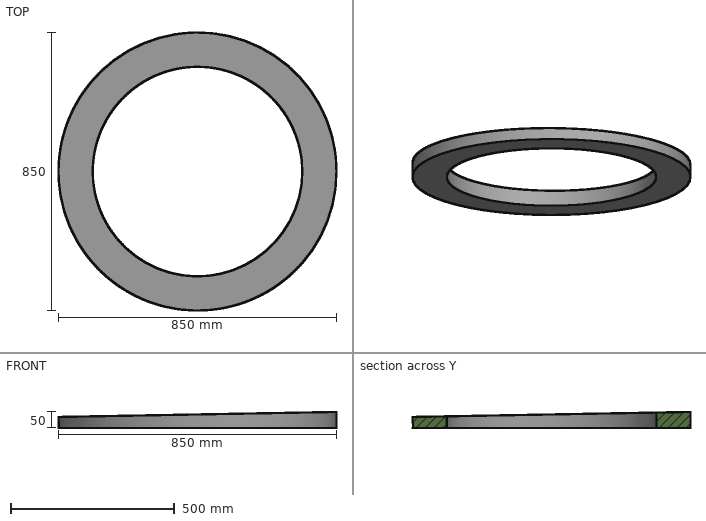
import cadquery as cq

outer_diameter = 850.0
inner_diameter = 640.0
low_height = 35.0
high_height = 50.0

outer_radius = outer_diameter / 2
inner_radius = inner_diameter / 2

level_ring = (
    cq.Workplane("XY")
    .circle(outer_radius)
    .circle(inner_radius)
    .extrude(high_height)
)

wedge = (
    cq.Workplane("XZ")
    .polyline([
        (-outer_radius, 0),
        (outer_radius, 0),
        (outer_radius, high_height),
        (-outer_radius, low_height),
    ])
    .close()
    .extrude(outer_radius, both=True)
)

result = level_ring.intersect(wedge)